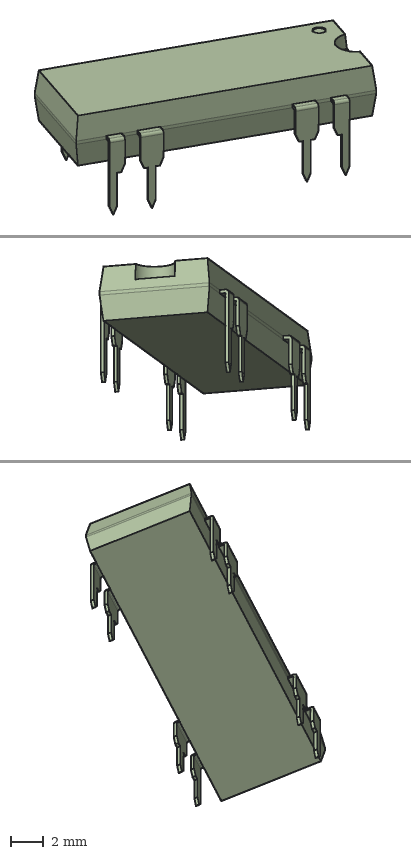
import cadquery as cq
import math

BODY_LENGTH = 19.69
BODY_WIDTH = 7.1
BODY_HEIGHT = 3.43
DRAFT_INSET = 0.2

OVERALL_WIDTH = 8.27
OVERALL_HEIGHT = 6.77
LEAD_THICKNESS = 0.22
BEND_OUTER_RADIUS = 0.2
BEND_INNER_RADIUS = 0.05
PITCH = 2.54
FOOT_WIDTH = 0.5
END_LEAD_WIDTH = 1.0
INNER_LEAD_WIDTH = 1.5
SHOULDER_DROP = 0.53
SHOULDER_INSET = 0.24
TIP_HEIGHT = 0.57

NOTCH_RADIUS = 1.28
NOTCH_DEPTH = 1.0
DOT_DIAMETER = 0.83
DOT_DEPTH = 0.08
DOT_X = -2.38
DOT_Y = 8.37

BODY_TOP = BODY_HEIGHT / 2
BODY_BOTTOM = -BODY_TOP
BAND_TOP = LEAD_THICKNESS / 2
LEAD_BOTTOM = BODY_TOP - OVERALL_HEIGHT
SHOULDER_Z = BODY_BOTTOM - SHOULDER_DROP
TIP_Z = LEAD_BOTTOM + TIP_HEIGHT
END_LEAD_Y = 3 * PITCH
INNER_LEAD_Y = 2 * PITCH


def make_body():
    """Straight parting band with a drafted half above and below it."""
    half_height = BODY_TOP - BAND_TOP
    draft_angle = math.degrees(math.atan2(DRAFT_INSET, half_height))
    band = cq.Workplane("XY").box(BODY_WIDTH, BODY_LENGTH, LEAD_THICKNESS)
    upper = band.faces(">Z").workplane().rect(BODY_WIDTH, BODY_LENGTH).extrude(
        half_height, combine=False, taper=draft_angle
    )
    lower = upper.mirror("XY")
    return band.union(upper).union(lower)


def cut_markings(body):
    """End notch and round dimple that mark pin one."""
    top = cq.Workplane("XY", origin=(0, 0, BODY_TOP))
    notch = top.center(0, BODY_LENGTH / 2).circle(NOTCH_RADIUS).extrude(-NOTCH_DEPTH)
    dot = top.center(DOT_X, DOT_Y).circle(DOT_DIAMETER / 2).extrude(-DOT_DEPTH)
    return body.cut(notch).cut(dot)


def bent_strip():
    """Both rows of leads as one bent strip, running the full length of the body."""
    outer_x = OVERALL_WIDTH / 2
    inner_x = outer_x - LEAD_THICKNESS
    height = BAND_TOP - LEAD_BOTTOM
    outer = (
        cq.Workplane("XY")
        .box(2 * outer_x, BODY_LENGTH, height)
        .edges("|Y and >Z")
        .fillet(BEND_OUTER_RADIUS)
    )
    inner = (
        cq.Workplane("XY")
        .box(2 * inner_x, BODY_LENGTH, height)
        .edges("|Y and >Z")
        .fillet(BEND_INNER_RADIUS)
        .translate((0, 0, -LEAD_THICKNESS))
    )
    return outer.cut(inner).translate((0, 0, BAND_TOP - height / 2))


def lead_outline(inboard, outboard):
    """Lead seen along X: foot centred on Y = 0, shoulders reaching to each side."""
    half_foot = FOOT_WIDTH / 2

    def side(reach):
        points = [(reach, BAND_TOP), (reach, BODY_BOTTOM)]
        if reach > half_foot:
            points.append((reach - SHOULDER_INSET, SHOULDER_Z))
            points.append((half_foot, SHOULDER_Z))
        points.append((half_foot, TIP_Z))
        return points

    inboard_side = [(-y, z) for y, z in side(inboard)]
    return inboard_side + [(0, LEAD_BOTTOM)] + side(outboard)[::-1]


def make_leads():
    """End leads step inward only; inner leads have a shoulder on both sides."""
    end_reach = END_LEAD_WIDTH - FOOT_WIDTH / 2
    inner_reach = INNER_LEAD_WIDTH / 2
    shapes = [
        (END_LEAD_Y, lead_outline(end_reach, FOOT_WIDTH / 2)),
        (INNER_LEAD_Y, lead_outline(inner_reach, inner_reach)),
    ]
    profiles = cq.Workplane("YZ")
    for lead_y, outline in shapes:
        profile = (
            cq.Workplane("YZ", origin=(0, lead_y, 0))
            .polyline(outline)
            .close()
            .extrude(OVERALL_WIDTH / 2, both=True)
        )
        profiles = profiles.add(profile).add(profile.mirror("XZ"))
    return bent_strip().intersect(profiles.combine())


result = cut_markings(make_body().union(make_leads()))